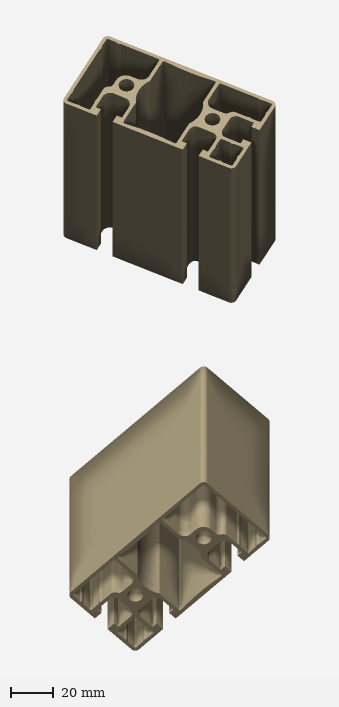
import cadquery as cq
import math

width = 90.0
depth = 45.0
length = 100.0
corner_radius = 2.5
half_width = width / 2
half_depth = depth / 2

wall = 1.7
inner_x = half_width - wall
inner_y = half_depth - wall

bore_diameter = 7.3
bore_x = width / 4

slot_half_width = 6.9
mouth_width = 8.3
lip_thickness = 4.3
floor_offset = 7.1
left_slot_radius = 4.0
right_slot_radius = 3.2
slot_wall_offset = slot_half_width + wall

web_inner_x = bore_x - slot_wall_offset
web_outer_x = bore_x - slot_half_width
waist_half_height = 7.3
waist_bulge = 2.1
middle_thickening = 0.7

boss_offset = 5.7
boss_radius = 5.0
web_fillet = 4.0
left_shoulder_radius = 2.5
left_shoulder_top = -3.8
left_shoulder_bottom = -5.4
right_shoulder_radius = 2.0
right_shoulder_start = bore_x + 4.1
right_shoulder_end = bore_x + 6.5

chamber_radius = 0.8
bead_width = 2.3
bead_height = 0.3
bead_radius = (bead_width**2 / 4 + bead_height**2) / (2 * bead_height)
bead_inset = 7.8
bead_x = half_width - bead_inset
bead_y = half_depth - bead_inset


def prism(corners):
    """Full-length prism over a polygon of (x, y, radius) corners, each rounded by a tangent arc."""
    runs = []
    for i, (x, y, radius) in enumerate(corners):
        corner = cq.Vector(x, y)
        back = (cq.Vector(*corners[i - 1][:2]) - corner).normalized()
        ahead = (cq.Vector(*corners[(i + 1) % len(corners)][:2]) - corner).normalized()
        half_angle = back.getAngle(ahead) / 2
        setback = radius / math.tan(half_angle)
        to_arc = radius / math.sin(half_angle) - radius
        middle = corner + (back + ahead).normalized() * to_arc
        runs.append((corner + back * setback, middle, corner + ahead * setback, radius))
    outline = cq.Workplane("XY").moveTo(*runs[0][0].toTuple()[:2])
    for i, (start, middle, end, radius) in enumerate(runs):
        if i > 0:
            outline = outline.lineTo(start.x, start.y)
        if radius > 0:
            outline = outline.threePointArc((middle.x, middle.y), (end.x, end.y))
    return outline.close().extrude(length)


def t_slot(floor_radius):
    """T-slot cutter around a bore at the origin, opening towards -Y."""
    lip_y = -half_depth + lip_thickness
    cavity = prism([
        (-slot_half_width, lip_y, 0),
        (slot_half_width, lip_y, 0),
        (slot_half_width, -floor_offset, floor_radius),
        (-slot_half_width, -floor_offset, floor_radius),
    ])
    mouth_height = half_depth - floor_offset - floor_radius
    mouth = cq.Workplane("XY").box(mouth_width, mouth_height, length, centered=(True, False, False))
    return cavity.union(mouth.translate((0, -half_depth, 0)))


def middle_chamber():
    """Chamber between the webs: waisted sides, top and bottom walls thicker at mid-width."""
    chamber = prism([
        (-web_inner_x, -inner_y, chamber_radius),
        (web_inner_x, -inner_y, chamber_radius),
        (web_inner_x, inner_y, chamber_radius),
        (-web_inner_x, inner_y, chamber_radius),
    ])
    for side in (-1, 1):
        bulge = (
            cq.Workplane("XY")
            .moveTo(side * web_inner_x, -waist_half_height)
            .threePointArc((side * (web_inner_x + waist_bulge), 0), (side * web_inner_x, waist_half_height))
            .close()
            .extrude(length)
        )
        chamber = chamber.union(bulge)
    flat_half_width = web_inner_x - chamber_radius
    for side in (-1, 1):
        thickening = (
            cq.Workplane("XY")
            .moveTo(-flat_half_width, side * inner_y)
            .threePointArc((0, side * (inner_y - middle_thickening)), (flat_half_width, side * inner_y))
            .close()
            .extrude(length)
        )
        chamber = chamber.cut(thickening)
    return chamber


def with_beads(chamber, faces):
    """Leave low rounded beads on chamber walls; each face is (x, y, normal x, normal y)."""
    for x, y, normal_x, normal_y in faces:
        axis_offset = bead_height - bead_radius
        bead = cq.Workplane("XY").center(x + normal_x * axis_offset, y + normal_y * axis_offset)
        chamber = chamber.cut(bead.circle(bead_radius).extrude(length))
    return chamber


def left_chamber():
    slot_wall_x = -bore_x - slot_wall_offset
    boss_x = -bore_x - boss_offset
    chamber = prism([
        (-inner_x, -inner_y, chamber_radius),
        (slot_wall_x, -inner_y, 0),
        (slot_wall_x, left_shoulder_bottom, left_shoulder_radius),
        (boss_x, left_shoulder_top, left_shoulder_radius),
        (boss_x, boss_offset, boss_radius),
        (-web_outer_x, boss_offset, web_fillet),
        (-web_outer_x, inner_y, chamber_radius),
        (-inner_x, inner_y, chamber_radius),
    ])
    return with_beads(chamber, [
        (-inner_x, bead_y, 1, 0),
        (-inner_x, -bead_y, 1, 0),
        (-bead_x, inner_y, 0, -1),
        (-bead_x, -inner_y, 0, 1),
        (slot_wall_x, -bead_y, -1, 0),
    ])


def upper_right_chamber():
    chamber = prism([
        (web_outer_x, boss_offset, web_fillet),
        (right_shoulder_start, boss_offset, right_shoulder_radius),
        (right_shoulder_end, slot_wall_offset, right_shoulder_radius),
        (inner_x, slot_wall_offset, chamber_radius),
        (inner_x, inner_y, chamber_radius),
        (web_outer_x, inner_y, chamber_radius),
    ])
    return with_beads(chamber, [
        (inner_x, bead_y, -1, 0),
        (bead_x, inner_y, 0, -1),
        (bead_x, slot_wall_offset, 0, 1),
    ])


def lower_right_chamber():
    slot_wall_x = bore_x + slot_wall_offset
    chamber = prism([
        (slot_wall_x, -inner_y, chamber_radius),
        (inner_x, -inner_y, chamber_radius),
        (inner_x, -slot_wall_offset, chamber_radius),
        (slot_wall_x, -slot_wall_offset, chamber_radius),
    ])
    return with_beads(chamber, [
        (inner_x, -bead_y, -1, 0),
        (slot_wall_x, -bead_y, 1, 0),
        (bead_x, -inner_y, 0, 1),
        (bead_x, -slot_wall_offset, 0, -1),
    ])


profile = cq.Workplane("XY").box(width, depth, length, centered=(True, True, False))
profile = profile.edges("|Z").fillet(corner_radius)

bores = cq.Workplane("XY").pushPoints([(-bore_x, 0), (bore_x, 0)]).circle(bore_diameter / 2).extrude(length)
right_slot = t_slot(right_slot_radius)
side_slot = right_slot.rotate((0, 0, 0), (0, 0, 1), 90)

result = (
    profile.cut(bores)
    .cut(t_slot(left_slot_radius).translate((-bore_x, 0, 0)))
    .cut(right_slot.translate((bore_x, 0, 0)))
    .cut(side_slot.translate((bore_x, 0, 0)))
    .cut(middle_chamber())
    .cut(left_chamber())
    .cut(upper_right_chamber())
    .cut(lower_right_chamber())
)